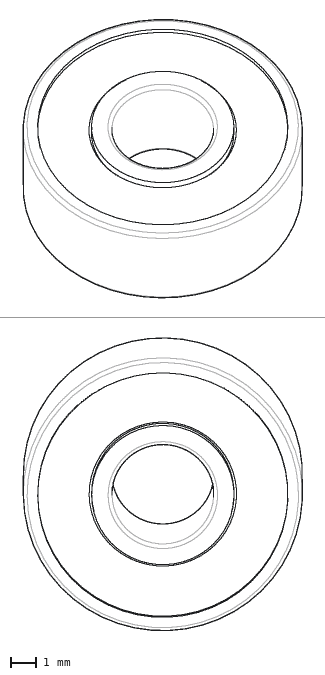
import cadquery as cq

OUTER_DIAMETER = 11.0
BORE_DIAMETER = 4.0
WIDTH = 4.0

OUTER_RACE_INNER_DIAMETER = 9.86
INNER_RACE_OUTER_DIAMETER = 5.61
EDGE_RADIUS = 0.15

FACE_RECESS = 0.2
FILLER_WIDTH = WIDTH - 2 * FACE_RECESS
LIP_CLEARANCE = 0.1
LIP_DEPTH = 0.2


def ring(outer_diameter, inner_diameter, width):
    """Plain ring, centred on the origin."""
    return (
        cq.Workplane("XY")
        .workplane(offset=-width / 2)
        .circle(outer_diameter / 2)
        .circle(inner_diameter / 2)
        .extrude(width)
    )


def make_outer_race():
    """Outer ring with rounded outside edges."""
    race = ring(OUTER_DIAMETER, OUTER_RACE_INNER_DIAMETER, WIDTH)
    outside_edges = cq.selectors.RadiusNthSelector(-1)
    return race.faces("<Z or >Z").edges(outside_edges).fillet(EDGE_RADIUS)


def make_inner_race():
    """Inner ring with rounded bore edges."""
    race = ring(INNER_RACE_OUTER_DIAMETER, BORE_DIAMETER, WIDTH)
    bore_edges = cq.selectors.RadiusNthSelector(0)
    return race.faces("<Z or >Z").edges(bore_edges).fillet(EDGE_RADIUS)


def make_filler():
    """Recessed ring between the races, with a tapered lip at both ends of its hole."""
    hole_radius = INNER_RACE_OUTER_DIAMETER / 2
    lip_radius = hole_radius + LIP_CLEARANCE
    outside_radius = OUTER_RACE_INNER_DIAMETER / 2
    face_height = FILLER_WIDTH / 2
    taper_end_height = face_height - LIP_DEPTH
    return (
        cq.Workplane("XZ")
        .moveTo(hole_radius, -taper_end_height)
        .lineTo(lip_radius, -face_height)
        .lineTo(outside_radius, -face_height)
        .lineTo(outside_radius, face_height)
        .lineTo(lip_radius, face_height)
        .lineTo(hole_radius, taper_end_height)
        .close()
        .revolve(360, (0, 0, 0), (0, 1, 0))
    )


outer_race = make_outer_race()
inner_race = make_inner_race()
filler = make_filler()

result = cq.Compound.makeCompound([outer_race.val(), inner_race.val(), filler.val()])